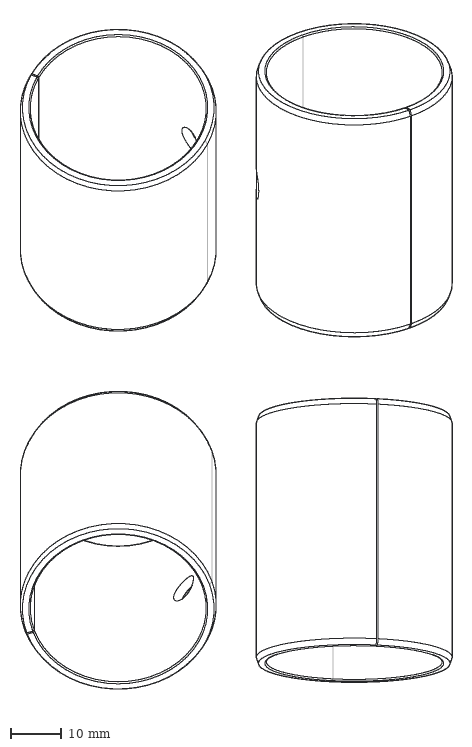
import cadquery as cq
import math

length = 50.0
outer_diameter = 39.0
inner_diameter = 35.0
outer_radius = outer_diameter / 2
inner_radius = inner_diameter / 2

outer_chamfer_height = 1.2
outer_chamfer_angle = 20.0
outer_chamfer_depth = outer_chamfer_height * math.tan(math.radians(outer_chamfer_angle))
inner_chamfer = 0.3

slit_width = 0.3

oil_hole_diameter = 6.0
oil_hole_angle = 58.5


def make_sleeve():
    """Revolve the wall section, chamfered at both ends, about Z."""
    section = [
        (inner_radius + inner_chamfer, 0),
        (outer_radius - outer_chamfer_depth, 0),
        (outer_radius, outer_chamfer_height),
        (outer_radius, length - outer_chamfer_height),
        (outer_radius - outer_chamfer_depth, length),
        (inner_radius + inner_chamfer, length),
        (inner_radius, length - inner_chamfer),
        (inner_radius, inner_chamfer),
    ]
    return cq.Workplane("XZ").polyline(section).close().revolve(360, (0, 0, 0), (0, 1, 0))


def make_slit():
    """Thin full-length cutter across the -X wall, with one face on the Y = 0 plane."""
    return cq.Workplane("XY").box(
        outer_diameter, slit_width, length, centered=False
    ).translate((-outer_diameter, 0, 0))


def make_oil_hole():
    """Radial cylinder from the axis outward at the oil hole angle."""
    return (
        cq.Workplane("YZ")
        .circle(oil_hole_diameter / 2)
        .extrude(outer_diameter)
        .rotate((0, 0, 0), (0, 0, 1), oil_hole_angle)
        .translate((0, 0, length / 2))
    )


result = make_sleeve().cut(make_slit()).cut(make_oil_hole())